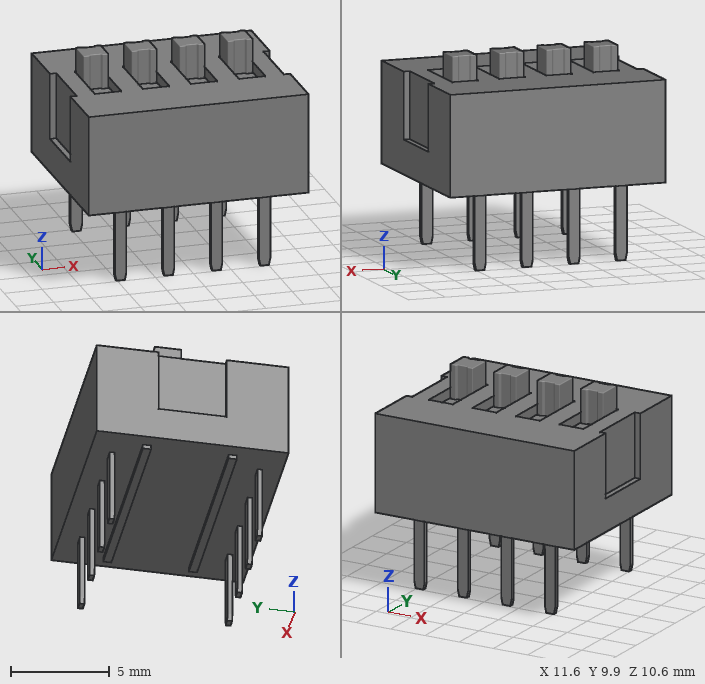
import cadquery as cq


body_length = 11.62
body_width = 9.9
body_height = 5.3

position_count = 4
pitch = 2.54

travel_width = 3.52
slot_length = 1.4
slot_depth = 0.55
recess_depth = 0.33
recess_height = 3.5

lever_length = 1.33
lever_width = 1.38
lever_projection = 1.3
lever_end_gap = 0.07
lever_edge_radius = 0.05
groove_mouth = 0.7
groove_floor = 0.53
groove_depth = 0.1

row_spacing = 7.62
pin_width = 0.6
pin_thickness = 0.25
pin_length = 4.05
pin_tip_width = 0.44
pin_tip_height = 0.37

rail_length = 10.16
rail_width = 0.42
rail_height = 0.23
rail_spacing = 4.42

position_xs = [(i - (position_count - 1) / 2) * pitch for i in range(position_count)]
slot_floor_z = body_height - slot_depth
lever_y = travel_width / 2 - lever_end_gap - lever_width / 2


def make_housing():
    """Block with a slot for each lever and a recess open to the top in each end face."""
    housing = cq.Workplane("XY").box(body_length, body_width, body_height, centered=(True, True, False))
    slots = (
        cq.Workplane("XY", origin=(0, 0, slot_floor_z))
        .pushPoints([(x, 0) for x in position_xs])
        .rect(slot_length, travel_width)
        .extrude(slot_depth)
    )
    recesses = (
        cq.Workplane("XY", origin=(0, 0, body_height - recess_height))
        .pushPoints([(-body_length / 2, 0), (body_length / 2, 0)])
        .rect(2 * recess_depth, travel_width)
        .extrude(recess_height)
    )
    return housing.cut(slots).cut(recesses)


def make_lever(x):
    """Post with eased edges standing on the slot floor, with a tapered groove in both Y faces."""
    lever_height = slot_depth + lever_projection
    half_width = lever_width / 2
    post = cq.Workplane("XY").box(lever_length, lever_width, lever_height, centered=(True, True, False))
    for side in (-1, 1):
        groove = (
            cq.Workplane("XY")
            .moveTo(-groove_mouth / 2, side * half_width)
            .lineTo(groove_mouth / 2, side * half_width)
            .lineTo(groove_floor / 2, side * (half_width - groove_depth))
            .lineTo(-groove_floor / 2, side * (half_width - groove_depth))
            .close()
            .extrude(lever_height)
        )
        post = post.cut(groove)
    post = post.edges("|Z").fillet(lever_edge_radius)
    post = post.faces(">Z").edges().fillet(lever_edge_radius)
    return post.translate((x, lever_y, slot_floor_z))


def make_pin(x, y):
    """Flat pin hanging from the housing, narrowing across its width at the tip."""
    half_width = pin_width / 2
    half_tip = pin_tip_width / 2
    taper_start_z = pin_tip_height - pin_length
    return (
        cq.Workplane("XZ")
        .polyline(
            [
                (-half_width, 0),
                (half_width, 0),
                (half_width, taper_start_z),
                (half_tip, -pin_length),
                (-half_tip, -pin_length),
                (-half_width, taper_start_z),
            ]
        )
        .close()
        .extrude(pin_thickness / 2, both=True)
        .translate((x, y, 0))
    )


def make_rails():
    """Two bars along X that hold the housing off the board."""
    return (
        cq.Workplane("XY")
        .pushPoints([(0, -rail_spacing / 2), (0, rail_spacing / 2)])
        .rect(rail_length, rail_width)
        .extrude(-rail_height)
    )


result = make_housing().union(make_rails())
for position_x in position_xs:
    result = result.union(make_lever(position_x))
    for row_y in (-row_spacing / 2, row_spacing / 2):
        result = result.union(make_pin(position_x, row_y))